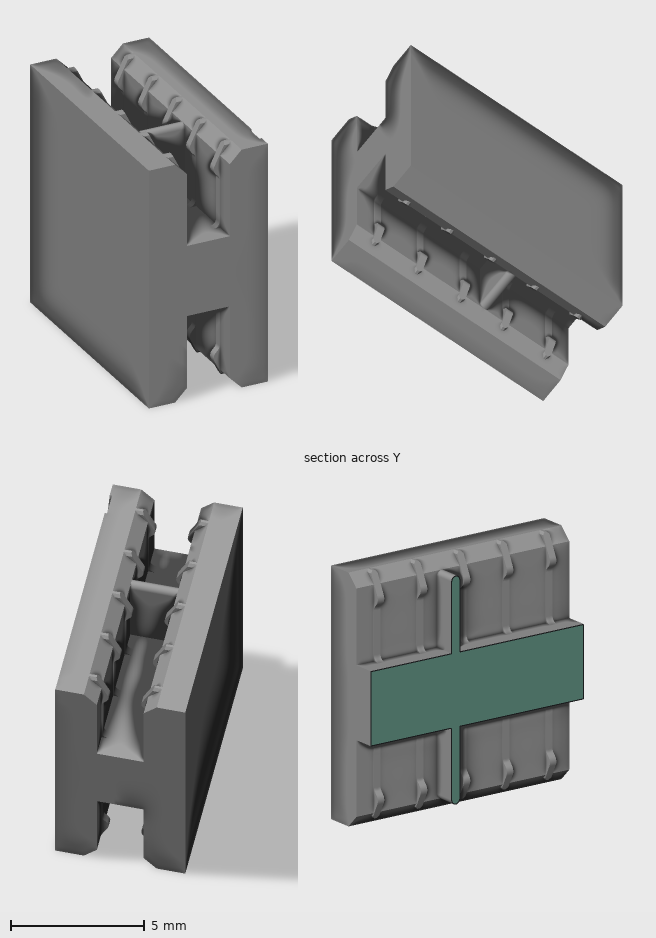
import cadquery as cq
import math

length = 9.9
depth = 5.0
height = 10.0
slot_width = 1.8
web_height = 2.95
slot_chamfer = 0.5

partition_x = 1.0
partition_thickness = 0.4

contact_count = 5
contact_pitch = 2.0
contact_width = 0.3
contact_rise = 0.03
foot_radius = 0.25
bend_start = 3.58
bend_peak = 3.92
bend_reach = 0.33
bend_radius = 0.3
bend_run_out_radius = 0.2
lead_in_slope = 0.5
upper_tip = 5.0
lower_tip = 4.75
tip_chamfer = 0.1

mark_x = 4.0
mark_width = 0.86
mark_depth = 0.09
mark_side_angle = 60.0
mark_tip_radius = 0.2

half_height = height / 2
half_slot = slot_width / 2
slot_floor = web_height / 2
chamfer_base = half_height - slot_chamfer


def make_body():
    """H-shaped block with bevelled slot mouths."""
    block = cq.Workplane("XY").box(length, depth, height)
    mouth_half = half_slot + slot_chamfer
    slot = (
        cq.Workplane("YZ")
        .polyline([
            (-half_slot, slot_floor),
            (half_slot, slot_floor),
            (half_slot, chamfer_base),
            (mouth_half, half_height),
            (-mouth_half, half_height),
            (-half_slot, chamfer_base),
        ])
        .close()
        .extrude(length / 2, both=True)
    )
    return block.cut(slot).cut(slot.mirror("XY"))


def make_partition():
    """Wall crossing the upper slot, with a half-round top."""
    radius = partition_thickness / 2
    shoulder = chamfer_base - radius
    return (
        cq.Workplane("XZ")
        .moveTo(partition_x - radius, 0)
        .lineTo(partition_x - radius, shoulder)
        .threePointArc((partition_x, chamfer_base), (partition_x + radius, shoulder))
        .lineTo(partition_x + radius, 0)
        .close()
        .extrude(half_slot, both=True)
    )


def make_contact(tip_height):
    """Contact at X = 0 on the +Y wall of the upper slot, backed into the body."""
    face_y = half_slot - contact_rise
    peak_y = half_slot - bend_reach
    tip_y = peak_y + lead_in_slope * (tip_height - bend_peak)
    back_y = half_slot + (tip_height - chamfer_base)

    contact = (
        cq.Workplane("YZ")
        .moveTo(back_y, 0)
        .lineTo(face_y - foot_radius, 0)
        .lineTo(face_y - foot_radius, slot_floor)
        .radiusArc((face_y, slot_floor + foot_radius), -foot_radius)
        .lineTo(face_y, bend_start)
        .lineTo(peak_y, bend_peak)
        .lineTo(tip_y, tip_height)
        .lineTo(back_y, tip_height)
        .close()
        .extrude(contact_width / 2, both=True)
    )
    contact = edge_across(contact, peak_y, bend_peak).fillet(bend_radius)
    contact = edge_across(contact, face_y, bend_start).fillet(bend_run_out_radius)
    return contact.faces(">Z").edges("|Y").chamfer(tip_chamfer)


def edge_across(solid, y, z):
    """Select the edge along X that passes through (y, z)."""
    return solid.edges(cq.selectors.NearestToPointSelector((0, y, z)))


def add_contacts(body, contact):
    """Join a row of contacts to both walls of a slot."""
    first_x = -contact_pitch * (contact_count - 1) / 2
    for index in range(contact_count):
        placed = contact.translate((first_x + index * contact_pitch, 0, 0))
        body = body.union(placed).union(placed.mirror("XZ"))
    return body


def make_mark():
    """Shallow V-shaped cutter with a rounded tip, pointing down."""
    mark_height = mark_width / 2 * math.tan(math.radians(mark_side_angle))
    mark = (
        cq.Workplane("XZ", origin=(mark_x, depth / 2, half_height))
        .polyline([(-mark_width / 2, 0), (mark_width / 2, 0), (0, -mark_height)])
        .close()
        .extrude(mark_depth)
    )
    return mark.edges("|Y").edges("<Z").fillet(mark_tip_radius)


partition = make_partition()
result = make_body().union(partition).union(partition.mirror("XY"))
result = add_contacts(result, make_contact(upper_tip))
result = add_contacts(result, make_contact(lower_tip).mirror("XY"))
result = result.cut(make_mark())